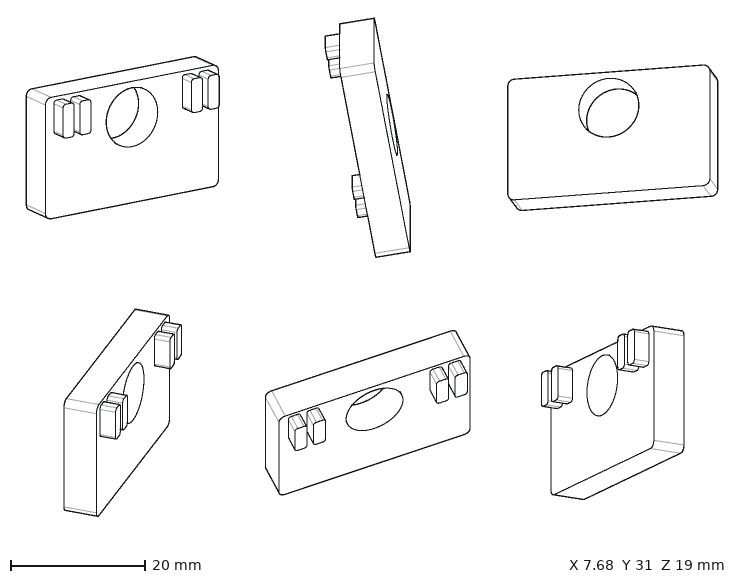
import cadquery as cq

plate_thickness = 5.2
plate_width = 31.0
plate_height = 19.0
plate_corner_radius = 1.02

hole_diameter = 9.2
hole_depth_below_top = 5.6

peg_length = 2.48
peg_width = 1.98
peg_height = 5.3
peg_edge_radius = 0.5
peg_top_gap = 0.6
outer_peg_side_gap = 1.52
peg_pitch = 3.0

plate_top = plate_height / 2
outer_peg_y = plate_width / 2 - outer_peg_side_gap - peg_width / 2
inner_peg_y = outer_peg_y - peg_pitch
peg_center_z = plate_top - peg_top_gap - peg_height / 2


def make_plate():
    """Block with rounded edges along X, its -X face at X = 0."""
    plate = cq.Workplane("YZ").rect(plate_width, plate_height).extrude(plate_thickness)
    return plate.edges("|X").fillet(plate_corner_radius)


def make_hole():
    """Cylinder that cuts the through hole."""
    hole_center_z = plate_top - hole_depth_below_top
    return cq.Workplane("YZ").center(0, hole_center_z).circle(hole_diameter / 2).extrude(plate_thickness)


def make_peg(center_y):
    """Rounded rectangular peg standing on the +X face."""
    face = cq.Workplane("YZ", origin=(plate_thickness, center_y, peg_center_z))
    return face.rect(peg_width, peg_height).extrude(peg_length).edges("|X").fillet(peg_edge_radius)


result = make_plate().cut(make_hole())
for center_y in (-outer_peg_y, -inner_peg_y, inner_peg_y, outer_peg_y):
    result = result.union(make_peg(center_y))